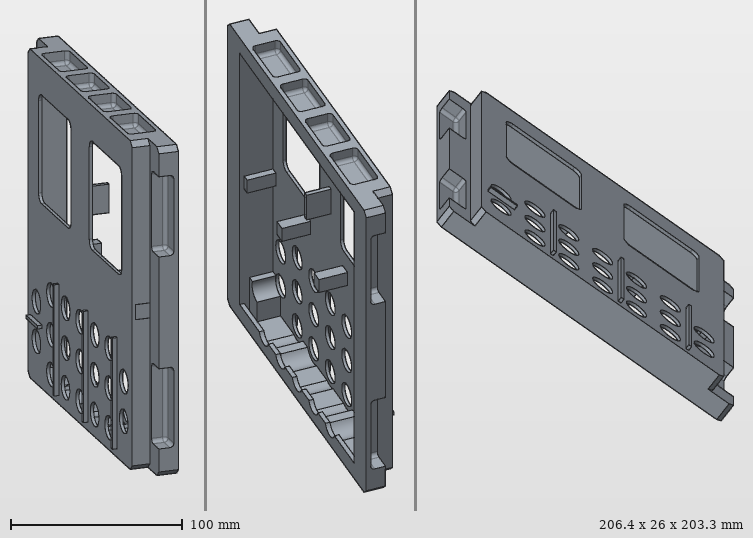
import cadquery as cq

width = 206.4
height = 203.3
flange_thickness = 12.2
body_thickness = 23.1
rib_height = 2.9
body_width = 175.8
corner_chamfer = 3.3

wall = 2.9
front_wall = 2.0

pocket_fillet = 2.5
side_pocket_length = 49.5
side_pocket_depth = 12.2
side_pocket_inset = 17.5
edge_pocket_depth = 8.3
top_bar = edge_pocket_depth + wall
edge_pockets = [(18.5, 29.3), (57.5, 33.5)]

window_width = 54.5
window_height = 67.0
window_spacing = 85.5
window_top_inset = 22.0
window_fillet = 5.0

hole_diameter = 14.5
hole_pitch = 24.5
inner_columns = range(-2, 3)
middle_row_z = 38.4
outer_column = 3
rib_width = 2.0
long_rib_columns = (-1.5, 0.5, 2.5)
long_rib_bottom = 5.4
long_rib_length = 68.7
short_rib_length = 19.5

floor_top = 4.5
hump_top = 8.9
hump_width = 20.6
hump_column = 1.5
lip_top = 11.1
button_clearance = 20.6

corner_block_top = 28.9
corner_block_inset = 6.2
corner_bore = 14.9

post_width = 7.5
post_height = 9.3
post_top = 102.8
post_positions = (-22.3, 32.6, 84.5)
centre_rib_inset = 5.5
centre_rib_bottom = 128.5
centre_rib_length = 17.7

front_y = -body_thickness


def box(x_range, y_range, z_range):
    """Box between pairs of coordinates."""
    sizes = [high - low for low, high in (x_range, y_range, z_range)]
    corner = (x_range[0], y_range[0], z_range[0])
    return cq.Workplane("XY").box(*sizes, centered=False).translate(corner)


def chamfered_plate(plate_width, thickness):
    """Upright plate from the back face forward, with its four corners cut off."""
    half = plate_width / 2
    plate = box((-half, half), (-thickness, 0), (0, height))
    return plate.edges("|Y").chamfer(corner_chamfer)


def make_cavity():
    half = body_width / 2 - wall
    return box((-half, half), (front_y + front_wall, 0), (wall, height - top_bar))


def make_floor():
    """Lower bar of the cavity, bored below the buttons.

    It is low in front, with two humps, and has a taller lip along the back.
    """
    half = body_width / 2 - wall
    front = (front_y + front_wall, -wall)
    floor = box((-half, half), front, (wall, floor_top))
    for side in (-1, 1):
        x = side * hump_column * hole_pitch
        floor = floor.union(box((x - hump_width / 2, x + hump_width / 2), front, (wall, hump_top)))
    lip = box((-half, half), (-wall, 0), (wall, lip_top))
    points = [(column * hole_pitch, middle_row_z - hole_pitch) for column in inner_columns]
    floor = floor.cut(rods(points, button_clearance, front_y, body_thickness))
    return floor.union(lip.cut(rods(points, hole_diameter, front_y, body_thickness)))


def rods(points, diameter, y_start, length):
    """Rods along Y through (x, z) points, from y_start toward the back."""
    plane = cq.Workplane("XZ", origin=(0, y_start, 0))
    return plane.pushPoints(points).circle(diameter / 2).extrude(-length)


def corner_block():
    """Block in the lower +X corner of the cavity, hollowed by the bore of the outer hole."""
    x = outer_column * hole_pitch
    depth = (front_y + front_wall, -corner_block_inset)
    block = box((x, body_width / 2 - wall), depth, (wall, corner_block_top))
    centre = [(x, middle_row_z - hole_pitch / 2)]
    return block.cut(rods(centre, corner_bore, front_y, body_thickness))


def post(x):
    return box(
        (x - post_width / 2, x + post_width / 2),
        (front_y + front_wall, -wall),
        (post_top - post_height, post_top),
    )


def centre_rib():
    return box(
        (-wall / 2, wall / 2),
        (front_y + front_wall, -centre_rib_inset),
        (centre_rib_bottom, centre_rib_bottom + centre_rib_length),
    )


def edge_pocket(x, pocket_width):
    half = pocket_width / 2
    pocket = box((x - half, x + half), (front_y + wall, -wall), (height - edge_pocket_depth, height))
    return pocket.edges("not >Z").fillet(pocket_fillet)


def side_pocket(side, z_bottom):
    """Recess open to the outer side and to the front of the flange."""
    inner = width / 2 - side_pocket_depth
    x_range = sorted((side * inner, side * width / 2))
    z_range = (z_bottom, z_bottom + side_pocket_length)
    pocket = box(x_range, (-flange_thickness, -wall), z_range)
    outer_side = ">X" if side > 0 else "<X"
    return pocket.edges(f"not ({outer_side} or <Y)").fillet(pocket_fillet)


def window(side):
    x = side * window_spacing / 2
    top = height - window_top_inset
    opening = box(
        (x - window_width / 2, x + window_width / 2),
        (front_y, front_y + front_wall),
        (top - window_height, top),
    )
    return opening.edges("|Y").fillet(window_fillet)


def button_holes():
    grid = [(column, row) for column in inner_columns for row in (-1, 0, 1)]
    outer = [(column, row) for column in (-outer_column, outer_column) for row in (-0.5, 0.5)]
    points = [(c * hole_pitch, middle_row_z + r * hole_pitch) for c, r in grid + outer]
    return rods(points, hole_diameter, front_y, front_wall)


def long_rib(x):
    return box(
        (x - rib_width / 2, x + rib_width / 2),
        (front_y - rib_height, front_y),
        (long_rib_bottom, long_rib_bottom + long_rib_length),
    )


def short_rib(x):
    return box(
        (x - short_rib_length / 2, x + short_rib_length / 2),
        (front_y - rib_height, front_y),
        (middle_row_z - rib_width / 2, middle_row_z + rib_width / 2),
    )


result = chamfered_plate(width, flange_thickness)
result = result.union(chamfered_plate(body_width, body_thickness))
result = result.cut(make_cavity()).union(make_floor()).union(corner_block()).union(centre_rib())
for x in post_positions:
    result = result.union(post(x))
for side in (-1, 1):
    for offset, pocket_width in edge_pockets:
        result = result.cut(edge_pocket(side * offset, pocket_width))
    for z in (side_pocket_inset, height - side_pocket_inset - side_pocket_length):
        result = result.cut(side_pocket(side, z))
    result = result.cut(window(side))
result = result.cut(button_holes())
for column in long_rib_columns:
    result = result.union(long_rib(column * hole_pitch))
result = result.union(short_rib(-outer_column * hole_pitch))